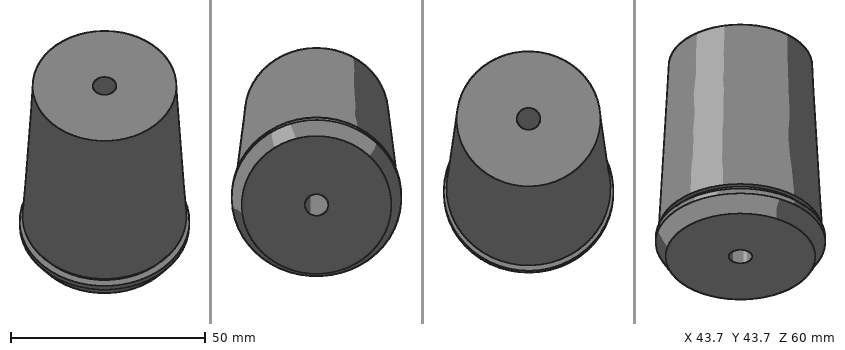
import cadquery as cq

height = 60.0
flange_diameter = 43.7
bore_diameter = 6.0

body_top_diameter = 37.0
body_base_diameter = 42.25
body_base_z = 8.0

groove_diameter = 39.8
flange_top_z = 6.0

rim_bottom_z = 4.5
foot_diameter = 38.5

profile = [
    (0, 0),
    (foot_diameter / 2, 0),
    (flange_diameter / 2, rim_bottom_z),
    (flange_diameter / 2, flange_top_z),
    (groove_diameter / 2, flange_top_z),
    (groove_diameter / 2, body_base_z),
    (body_base_diameter / 2, body_base_z),
    (body_top_diameter / 2, height),
    (0, height),
]
body = cq.Workplane("XZ").polyline(profile).close().revolve(360, (0, 0, 0), (0, 1, 0))

bore = cq.Workplane("XY").circle(bore_diameter / 2).extrude(height)

result = body.cut(bore)